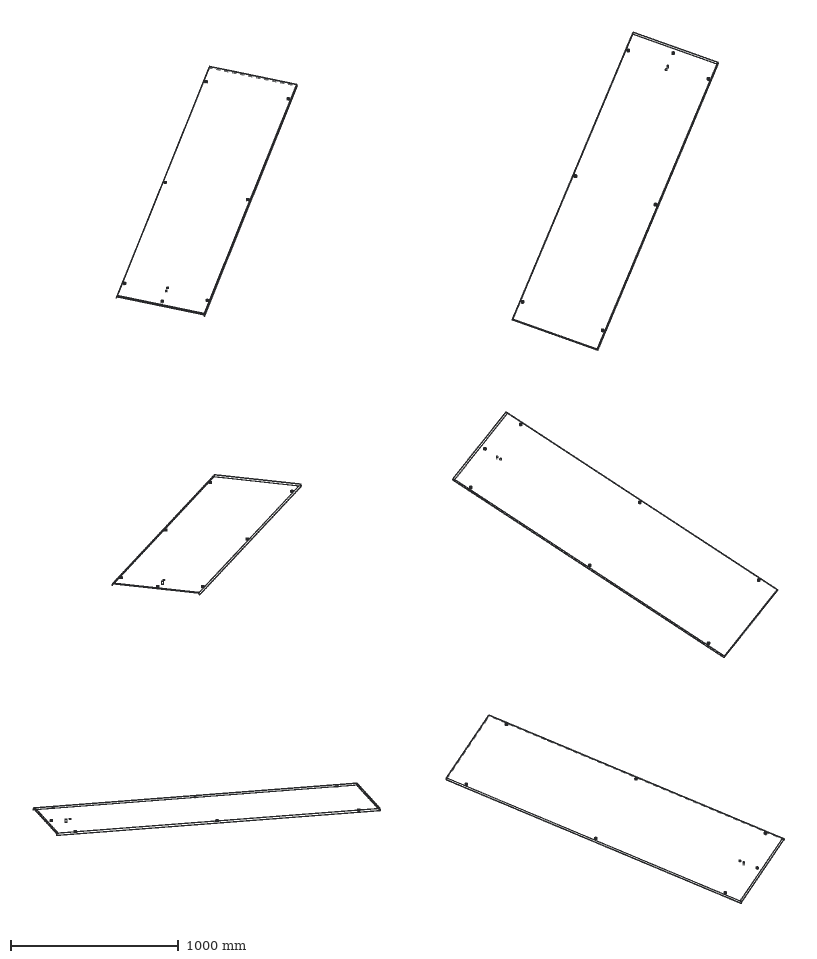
import cadquery as cq

width = 549.0
length = 1996.0
height = 14.0
sheet = 2.0
flange_lean = 4.5
hem_depth = 12.0

fastener_radius = 8.0
fastener_length = 8.0
socket_radius = 3.0
socket_depth = 4.0
fastener_side_x = 255.0
fastener_row_pitch = 875.0
fastener_row_middle = -4.0
fastener_rows = [fastener_row_middle + step * fastener_row_pitch for step in (-1, 0, 1)]
front_fastener_y = -958.0

stud_radius = 5.0
stud_y = -868.0
stud_projection = 8.0
boss_radius = 5.0
boss_y = -842.0
boss_height = 2.0

front_y = -length / 2
rear_y = length / 2
top_underside = height - sheet

fastener_points = [(side * fastener_side_x, y) for side in (-1, 1) for y in fastener_rows]
fastener_points.append((0, front_fastener_y))


def flared_block(inset, top, y_start, y_end):
    """Prism along Y with leaning sides, drawn in from the outer sides by inset."""
    half_bottom = width / 2 - inset
    half_top = half_bottom - flange_lean * top / height
    outline = [(-half_bottom, 0), (-half_top, top), (half_top, top), (half_bottom, 0)]
    return (
        cq.Workplane("XZ", origin=(0, y_end, 0))
        .polyline(outline)
        .close()
        .extrude(y_end - y_start)
    )


def cylinder(x, y, z_bottom, radius, cylinder_height):
    return (
        cq.Workplane("XY", origin=(x, y, z_bottom))
        .circle(radius)
        .extrude(cylinder_height)
    )


def make_shell():
    """Top sheet with two side flanges and a rear wall."""
    outside = flared_block(0, height, front_y, rear_y)
    inside = flared_block(sheet, top_underside, front_y, rear_y - sheet)
    return outside.cut(inside)


def make_hem():
    """Folded strip under the front edge, between the side flanges."""
    hem_width = width - 2 * (flange_lean + sheet)
    return cq.Workplane("XY", origin=(0, front_y, top_underside - sheet)).box(
        hem_width, hem_depth, sheet, centered=(True, False, False)
    )


def make_panel():
    stud = cylinder(0, stud_y, -stud_projection, stud_radius, top_underside + stud_projection)
    boss = cylinder(0, boss_y, top_underside - boss_height, boss_radius, boss_height)
    panel = make_shell().union(make_hem()).union(stud).union(boss)
    for x, y in fastener_points:
        panel = panel.cut(cylinder(x, y, top_underside, fastener_radius, sheet))
    return panel


def make_fastener(x, y):
    """Round pin through the top sheet, with a drive socket in its upper end."""
    pin = cylinder(x, y, height - fastener_length, fastener_radius, fastener_length)
    socket = cylinder(x, y, height - socket_depth, socket_radius, socket_depth)
    return pin.cut(socket)


panel = make_panel()
fasteners = [make_fastener(x, y).val() for x, y in fastener_points]

result = cq.Compound.makeCompound([panel.val(), *fasteners])